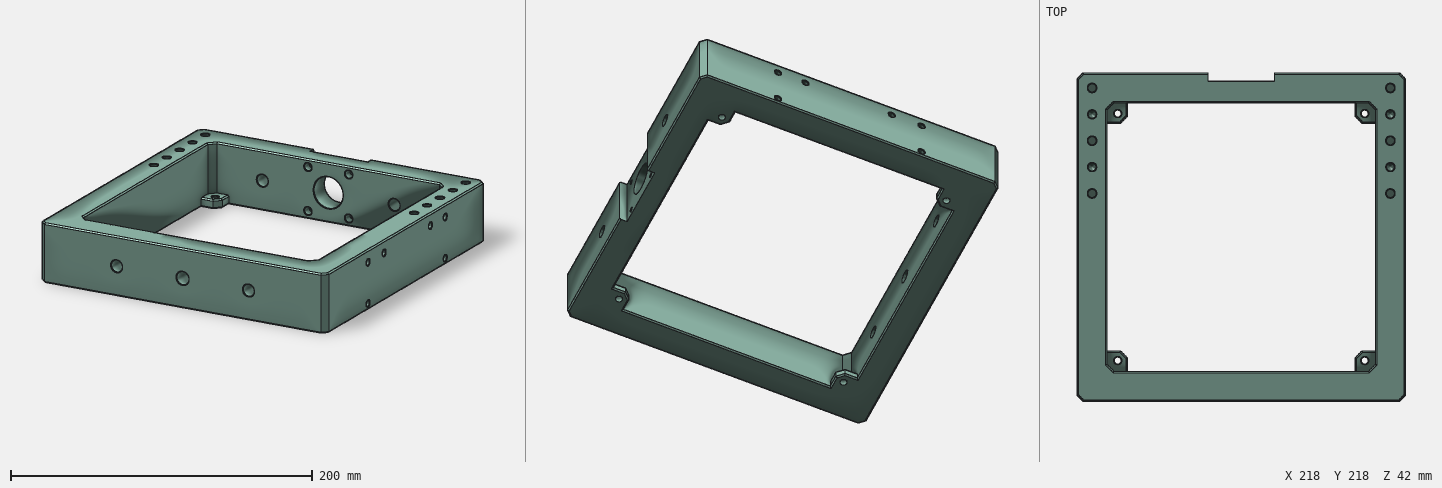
import cadquery as cq
import math

side = 218.0
height = 42.0
opening = 178.0
corner_chamfer = 4.0
opening_corner_chamfer = 4.5
edge_break = 1.0

recess_width = 44.0
recess_depth = 5.5

tab_reach = 13.5
tab_thickness = 6.5
tab_chamfer = 4.5
tab_hole_diameter = 4.5
tab_hole_spacing = 164.0

top_hole_count = 5
top_hole_pitch = 17.5
top_hole_margin = 10.0
top_hole_depth = 17.5
flat_hole_diameter = 5.5
pointed_hole_diameter = 5.2
drill_point_angle = 118.0

wall_hole_diameter = 8.3
wall_hole_offset = 50.1
front_center_diameter = 9.2

bore_diameter = 22.0
motor_screw_spacing = 31.0
motor_screw_diameter = 3.3
motor_head_diameter = 5.5
motor_head_depth = 6.5

side_hole_diameter = 2.5
side_hole_depth = 8.7
side_counterbore_diameter = 4.4
side_counterbore_depth = 3.0
side_upper_height = 33.4
side_lower_height = 4.4
side_upper_places = (-51.5, -29.6, 33.4, 53.5)
side_lower_places = (side_upper_places[0], side_upper_places[-1])

mouth_chamfer = 0.48

half_side = side / 2
half_opening = opening / 2
wall = half_side - half_opening
mid_height = height / 2
tab_hole_place = tab_hole_spacing / 2
motor_screw_place = motor_screw_spacing / 2
top_hole_start = half_side - top_hole_margin

DOWN = cq.Vector(0, 0, -1)
REARWARD = cq.Vector(0, 1, 0)


def chamfered_square(width, thickness, corner):
    """Square plate on Z = 0 with chamfered vertical corners."""
    return cq.Workplane("XY").rect(width, width).extrude(thickness).edges("|Z").chamfer(corner)


def break_edges(body):
    """Chamfer the top and bottom outlines."""
    return body.faces("<Z or >Z").edges().chamfer(edge_break)


def plain_hole(start, direction, diameter, depth):
    return cq.Solid.makeCylinder(diameter / 2, depth, start, direction)


def countersunk_hole(start, direction, diameter, depth):
    radius = diameter / 2
    mouth = cq.Solid.makeCone(radius + mouth_chamfer, radius, mouth_chamfer, start, direction)
    return plain_hole(start, direction, diameter, depth).fuse(mouth)


def pointed_hole(start, direction, diameter, depth):
    radius = diameter / 2
    point_length = radius / math.tan(math.radians(drill_point_angle / 2))
    point = cq.Solid.makeCone(radius, 0, point_length, start + direction * depth, direction)
    return countersunk_hole(start, direction, diameter, depth).fuse(point)


def make_frame():
    frame = chamfered_square(side, height, corner_chamfer)
    frame = break_edges(frame.cut(chamfered_square(opening, height, opening_corner_chamfer)))
    recess = cq.Workplane("XY").box(recess_width, 2 * recess_depth, 2 * height)
    return frame.cut(recess.translate((0, half_side, 0)))


def add_tabs(frame):
    tab = break_edges(chamfered_square(2 * tab_reach, tab_thickness, tab_chamfer))
    for x_sign in (-1, 1):
        for y_sign in (-1, 1):
            frame = frame.union(tab.translate((x_sign * half_opening, y_sign * half_opening, 0)))
            start = cq.Vector(x_sign * tab_hole_place, y_sign * tab_hole_place, tab_thickness)
            frame = frame.cut(countersunk_hole(start, DOWN, tab_hole_diameter, tab_thickness))
    return frame


def drill_top_holes(frame):
    for x_sign in (-1, 1):
        for index in range(top_hole_count):
            y = top_hole_start - index * top_hole_pitch
            start = cq.Vector(x_sign * top_hole_start, y, height)
            if index % 2 == 0:
                tool = countersunk_hole(start, DOWN, flat_hole_diameter, top_hole_depth)
            else:
                tool = pointed_hole(start, DOWN, pointed_hole_diameter, top_hole_depth)
            frame = frame.cut(tool)
    return frame


def drill_front_and_rear_walls(frame):
    for x in (-wall_hole_offset, wall_hole_offset):
        for wall_start in (-half_side, half_opening):
            start = cq.Vector(x, wall_start, mid_height)
            frame = frame.cut(countersunk_hole(start, REARWARD, wall_hole_diameter, wall))
    front_center = cq.Vector(0, -half_side, mid_height)
    return frame.cut(countersunk_hole(front_center, REARWARD, front_center_diameter, wall))


def drill_motor_mount(frame):
    bore_start = cq.Vector(0, half_opening, mid_height)
    frame = frame.cut(countersunk_hole(bore_start, REARWARD, bore_diameter, wall))
    for x in (-motor_screw_place, motor_screw_place):
        for z in (-motor_screw_place, motor_screw_place):
            start = bore_start + cq.Vector(x, 0, z)
            frame = frame.cut(countersunk_hole(start, REARWARD, motor_head_diameter, motor_head_depth))
            frame = frame.cut(plain_hole(start, REARWARD, motor_screw_diameter, wall))
    return frame


def drill_side_holes(frame):
    upper = [(y, side_upper_height) for y in side_upper_places]
    lower = [(y, side_lower_height) for y in side_lower_places]
    for x_sign in (-1, 1):
        inward = cq.Vector(-x_sign, 0, 0)
        for y, z in upper + lower:
            start = cq.Vector(x_sign * half_side, y, z)
            floor = start + inward * side_counterbore_depth
            frame = frame.cut(
                countersunk_hole(start, inward, side_counterbore_diameter, side_counterbore_depth)
            )
            frame = frame.cut(countersunk_hole(floor, inward, side_hole_diameter, side_hole_depth))
    return frame


body = add_tabs(make_frame())
body = drill_top_holes(body)
body = drill_front_and_rear_walls(body)
body = drill_motor_mount(body)
result = drill_side_holes(body)